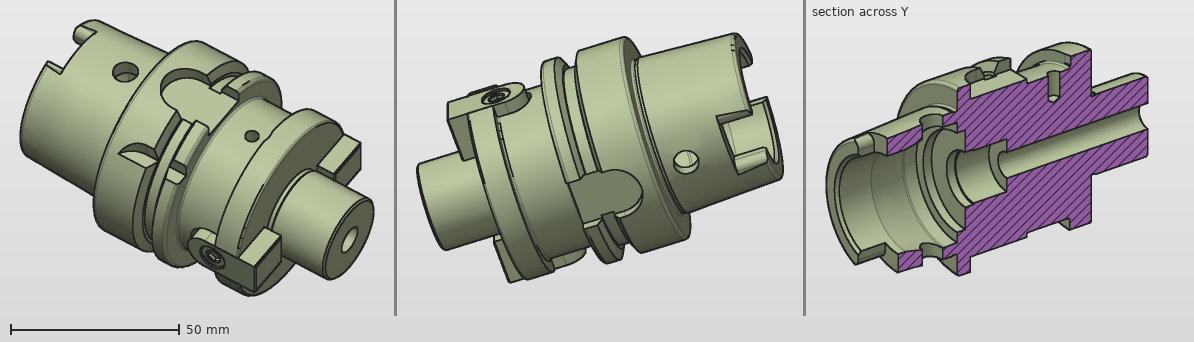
import cadquery as cq
import math


SHANK_LENGTH = 32.0
SHANK_MOUTH_RADIUS = 22.8
SHANK_TAPER_SLOPE = 0.05
SHANK_TIP_ROUND = 1.0
SHANK_TAPER_END = 29.9
UNDERCUT_START = 30.8
UNDERCUT_RADIUS = 23.9
UNDERCUT_FILLET = 0.6

BORE_RADIUS = 17.0
BORE_MOUTH_RADIUS = 18.0
BORE_MOUTH_DEPTH = 1.0
BORE_STRAIGHT_END = 12.8
CHAMBER_RADIUS = 20.2
CHAMBER_CONE_END = 26.8
CHAMBER_BAND_END = 27.4
CHAMBER_END_RADIUS = 20.0
CHAMBER_END = 31.9
FLOOR_RADIUS = 16.6
BORE_DEPTH = 35.0
SEAT_RADIUS = 9.2
SEAT_DEPTH = 3.1
THREAD_RADIUS = 8.8
THREAD_DEPTH = 12.4
THROUGH_RADIUS = 4.27

SLOT_WIDTH = 12.6
SLOT_LEDGE_HEIGHT = 20.9
SLOT_EDGE_ROUND = 2.6
TOP_SLOT_DEPTH = 6.0
BOTTOM_SLOT_DEPTH = 10.0
CROSS_HOLE_X = 22.9
CROSS_HOLE_RADIUS = 3.76

FLANGE_RADIUS = 31.5
FLANGE_END = 58.0
FLANGE_ROUND = 1.0
GROOVE_BEVEL_START = 46.6
GROOVE_START = 48.1
GROOVE_END = 51.9
GROOVE_BEVEL_END = 53.5
GROOVE_LIP_RADIUS = 28.5
GROOVE_FLOOR_RADIUS = 27.4

POCKET_ROUND_RADIUS = 7.9
POCKET_START = 37.0
POCKET_FLAT_HEIGHT = 26.5
NOTCH_START = 35.8
NOTCH_CORNER = 20.0

NECK_RADIUS = 25.0
NECK_FILLET = 0.6
COLLAR_START = 73.9
COLLAR_END = 82.0
COLLAR_RADIUS = 29.0
COLLAR_ROUND = 0.6
PILOT_START = 83.7
PILOT_RADIUS = 13.5
PILOT_CHAMFER = 0.6
RELIEF_RADIUS = 13.2
TOTAL_LENGTH = 103.0

BLIND_HOLE_X = 68.1
BLIND_HOLE_RADIUS = 2.1
BLIND_HOLE_DEPTH = 8.2
DRILL_POINT_ANGLE = 118.0
SPOTFACE_RADIUS = 6.2
SPOTFACE_HEIGHT = 26.0

KEY_WIDTH = 12.2
KEY_START = 64.1
KEY_END = 88.3
KEY_INNER = 14.0
KEY_OUTER = 28.3
KEY_CHAMFER = 0.4
KEYWAY_START = 63.0

SCREW_X = 72.9
HEAD_RADIUS = 4.4
HEAD_CHAMFER = 0.3
HEAD_RECESS = 0.5
HEAD_HEIGHT = 4.5
SHAFT_RADIUS = 2.5
SHAFT_INNER = 6.2
SOCKET_ACROSS_FLATS = 4.1
SOCKET_MOUTH_RADIUS = 2.5
SOCKET_DEPTH = 1.5
SOCKET_CONE_DEPTH = 0.6
HEAD_TOP = KEY_OUTER - HEAD_RECESS
HEAD_SEAT = HEAD_TOP - HEAD_HEIGHT

SIDES = (-1, 1)


def taper_radius(x):
    return SHANK_MOUTH_RADIUS + SHANK_TAPER_SLOPE * x


def cylinder_z(x, y, radius, bottom, top):
    """Cylinder along Z between two heights."""
    return cq.Workplane("XY", origin=(x, y, bottom)).circle(radius).extrude(top - bottom)


def box(x_range, y_range, z_range):
    spans = [high - low for low, high in (x_range, y_range, z_range)]
    corner = (x_range[0], y_range[0], z_range[0])
    return cq.Workplane("XY", origin=corner).box(*spans, centered=False)


def revolve_about_x(profile):
    return profile.close().revolve(360, (0, 0, 0), (1, 0, 0))


def turned_body():
    """Solid of revolution carrying the shank, flange, neck, collar and pilot."""
    profile = (
        cq.Workplane("XY")
        .lineTo(0, taper_radius(SHANK_TIP_ROUND) - SHANK_TIP_ROUND)
        .radiusArc((SHANK_TIP_ROUND, taper_radius(SHANK_TIP_ROUND)), SHANK_TIP_ROUND)
        .lineTo(SHANK_TAPER_END, taper_radius(SHANK_TAPER_END))
        .lineTo(UNDERCUT_START, UNDERCUT_RADIUS)
        .lineTo(SHANK_LENGTH - UNDERCUT_FILLET, UNDERCUT_RADIUS)
        .radiusArc((SHANK_LENGTH, UNDERCUT_RADIUS + UNDERCUT_FILLET), -UNDERCUT_FILLET)
        .lineTo(SHANK_LENGTH, FLANGE_RADIUS - FLANGE_ROUND)
        .radiusArc((SHANK_LENGTH + FLANGE_ROUND, FLANGE_RADIUS), FLANGE_ROUND)
        .lineTo(GROOVE_BEVEL_START, FLANGE_RADIUS)
        .lineTo(GROOVE_START, GROOVE_LIP_RADIUS)
        .lineTo(GROOVE_START, GROOVE_FLOOR_RADIUS)
        .lineTo(GROOVE_END, GROOVE_FLOOR_RADIUS)
        .lineTo(GROOVE_END, GROOVE_LIP_RADIUS)
        .lineTo(GROOVE_BEVEL_END, FLANGE_RADIUS)
        .lineTo(FLANGE_END - FLANGE_ROUND, FLANGE_RADIUS)
        .radiusArc((FLANGE_END, FLANGE_RADIUS - FLANGE_ROUND), FLANGE_ROUND)
        .lineTo(FLANGE_END, NECK_RADIUS + NECK_FILLET)
        .radiusArc((FLANGE_END + NECK_FILLET, NECK_RADIUS), -NECK_FILLET)
        .lineTo(COLLAR_START - NECK_FILLET, NECK_RADIUS)
        .radiusArc((COLLAR_START, NECK_RADIUS + NECK_FILLET), -NECK_FILLET)
        .lineTo(COLLAR_START, COLLAR_RADIUS)
        .lineTo(COLLAR_END - COLLAR_ROUND, COLLAR_RADIUS)
        .radiusArc((COLLAR_END, COLLAR_RADIUS - COLLAR_ROUND), COLLAR_ROUND)
        .lineTo(COLLAR_END, RELIEF_RADIUS)
        .lineTo(PILOT_START - (PILOT_RADIUS - RELIEF_RADIUS), RELIEF_RADIUS)
        .lineTo(PILOT_START, PILOT_RADIUS)
        .lineTo(TOTAL_LENGTH - PILOT_CHAMFER, PILOT_RADIUS)
        .lineTo(TOTAL_LENGTH, PILOT_RADIUS - PILOT_CHAMFER)
        .lineTo(TOTAL_LENGTH, 0)
    )
    return revolve_about_x(profile)


def shank_bore():
    """Stepped bore from the shank mouth, narrowing to the coolant hole through the pilot."""
    seat_end = BORE_DEPTH + SEAT_DEPTH
    thread_end = seat_end + THREAD_DEPTH
    profile = (
        cq.Workplane("XY")
        .lineTo(0, BORE_MOUTH_RADIUS)
        .lineTo(BORE_MOUTH_DEPTH, BORE_RADIUS)
        .lineTo(BORE_STRAIGHT_END, BORE_RADIUS)
        .lineTo(CHAMBER_CONE_END, CHAMBER_RADIUS)
        .lineTo(CHAMBER_BAND_END, CHAMBER_RADIUS)
        .lineTo(CHAMBER_END, CHAMBER_END_RADIUS)
        .lineTo(CHAMBER_END, FLOOR_RADIUS)
        .lineTo(BORE_DEPTH, FLOOR_RADIUS)
        .lineTo(BORE_DEPTH, SEAT_RADIUS)
        .lineTo(seat_end, SEAT_RADIUS)
        .lineTo(seat_end, THREAD_RADIUS)
        .lineTo(thread_end, THREAD_RADIUS)
        .lineTo(thread_end, THROUGH_RADIUS)
        .lineTo(TOTAL_LENGTH, THROUGH_RADIUS)
        .lineTo(TOTAL_LENGTH, 0)
    )
    return revolve_about_x(profile)


def drive_slot(depth, side):
    """Slot in the shank mouth whose walls round over onto flats; side is +1 for top, -1 for bottom."""
    wall = SLOT_WIDTH / 2
    ledge = wall + SLOT_EDGE_ROUND
    far = FLANGE_RADIUS
    right_half = (
        cq.Workplane("YZ")
        .lineTo(wall, 0)
        .lineTo(wall, SLOT_LEDGE_HEIGHT - SLOT_EDGE_ROUND)
        .radiusArc((ledge, SLOT_LEDGE_HEIGHT), SLOT_EDGE_ROUND)
        .lineTo(far, SLOT_LEDGE_HEIGHT)
        .lineTo(far, far)
        .lineTo(0, far)
        .close()
        .extrude(depth)
    )
    slot = right_half.union(right_half.mirror("XZ"))
    return slot if side > 0 else slot.mirror("XY")


def flange_pocket(start, center_y, bottom, top):
    """Round-ended pocket open toward the neck side of the flange."""
    round_x = start + POCKET_ROUND_RADIUS
    walls = (center_y - POCKET_ROUND_RADIUS, center_y + POCKET_ROUND_RADIUS)
    straight = box((round_x, FLANGE_END), walls, (bottom, top))
    return straight.union(cylinder_z(round_x, center_y, POCKET_ROUND_RADIUS, bottom, top))


def blind_hole():
    """Drilled hole with a conical bottom under a relief for its tool that cuts into the collar."""
    point_depth = BLIND_HOLE_RADIUS / math.tan(math.radians(DRILL_POINT_ANGLE / 2))
    point_top = NECK_RADIUS - BLIND_HOLE_DEPTH
    drill = (
        cq.Workplane("XZ", origin=(BLIND_HOLE_X, 0, 0))
        .moveTo(0, point_top - point_depth)
        .lineTo(BLIND_HOLE_RADIUS, point_top)
        .lineTo(BLIND_HOLE_RADIUS, COLLAR_RADIUS)
        .lineTo(0, COLLAR_RADIUS)
        .close()
        .revolve(360, (0, 0, 0), (0, 1, 0))
    )
    spotface = cylinder_z(BLIND_HOLE_X, 0, SPOTFACE_RADIUS, SPOTFACE_HEIGHT, FLANGE_RADIUS)
    return drill.union(spotface)


def key_block(start, end, outer):
    """Bar with a half-round end at low X, lying on the -Y side of the axis."""
    half = KEY_WIDTH / 2
    return (
        cq.Workplane("XZ", origin=(0, -KEY_INNER, 0))
        .moveTo(end, -half)
        .lineTo(end, half)
        .lineTo(start + half, half)
        .threePointArc((start, 0), (start + half, -half))
        .close()
        .extrude(outer - KEY_INNER)
    )


def screw_cylinder(radius, outer, inner):
    """Cylinder on the screw axis, on the -Y side between two distances from the tool axis."""
    return cq.Workplane("XZ", origin=(SCREW_X, -inner, 0)).circle(radius).extrude(outer - inner)


def screw_hole():
    """Counterbored hole through the key and into the holder, filled by the screw up to its recess."""
    counterbore = screw_cylinder(HEAD_RADIUS, KEY_OUTER, HEAD_SEAT)
    return counterbore.union(screw_cylinder(SHAFT_RADIUS, HEAD_SEAT, SHAFT_INNER))


def screw_socket():
    """Hexagon socket with a countersunk mouth, flats facing up and down."""
    face = cq.Workplane("XZ", origin=(SCREW_X, -HEAD_TOP, 0))
    hexagon = face.polygon(6, SOCKET_ACROSS_FLATS, circumscribed=True).extrude(-SOCKET_DEPTH)
    countersink = face.circle(SOCKET_MOUTH_RADIUS).extrude(-SOCKET_CONE_DEPTH, taper=45)
    return hexagon.union(countersink)


def on_side(body, side):
    """Place a body drawn on the -Y side onto either side of the axis."""
    return body if side < 0 else body.rotate((0, 0, 0), (1, 0, 0), 180)


def make_holder():
    notch_center_y = -NOTCH_CORNER - POCKET_ROUND_RADIUS
    holder = turned_body().cut(shank_bore())
    holder = holder.cut(drive_slot(TOP_SLOT_DEPTH, 1))
    holder = holder.cut(drive_slot(BOTTOM_SLOT_DEPTH, -1))
    holder = holder.cut(cylinder_z(CROSS_HOLE_X, 0, CROSS_HOLE_RADIUS, -FLANGE_RADIUS, FLANGE_RADIUS))
    holder = holder.cut(flange_pocket(POCKET_START, 0, POCKET_FLAT_HEIGHT, FLANGE_RADIUS))
    holder = holder.cut(flange_pocket(POCKET_START, 0, -FLANGE_RADIUS, -POCKET_FLAT_HEIGHT))
    holder = holder.cut(flange_pocket(NOTCH_START, notch_center_y, NOTCH_CORNER, FLANGE_RADIUS))
    holder = holder.cut(blind_hole())
    keyway = key_block(KEYWAY_START, KEY_END, FLANGE_RADIUS)
    for side in SIDES:
        holder = holder.cut(on_side(keyway, side)).cut(on_side(screw_hole(), side))
    return holder


def make_key(side):
    key = key_block(KEY_START, KEY_END, KEY_OUTER).faces(">X").chamfer(KEY_CHAMFER)
    return on_side(key.cut(screw_hole()), side)


def make_screw(side):
    head = screw_cylinder(HEAD_RADIUS, HEAD_TOP, HEAD_SEAT).faces("<Y").chamfer(HEAD_CHAMFER)
    shaft = screw_cylinder(SHAFT_RADIUS, HEAD_SEAT, SHAFT_INNER)
    return on_side(head.union(shaft).cut(screw_socket()), side)


holder = make_holder()
keys = [make_key(side) for side in SIDES]
screws = [make_screw(side) for side in SIDES]

result = cq.Compound.makeCompound([holder.val(), *[body.val() for body in keys + screws]])